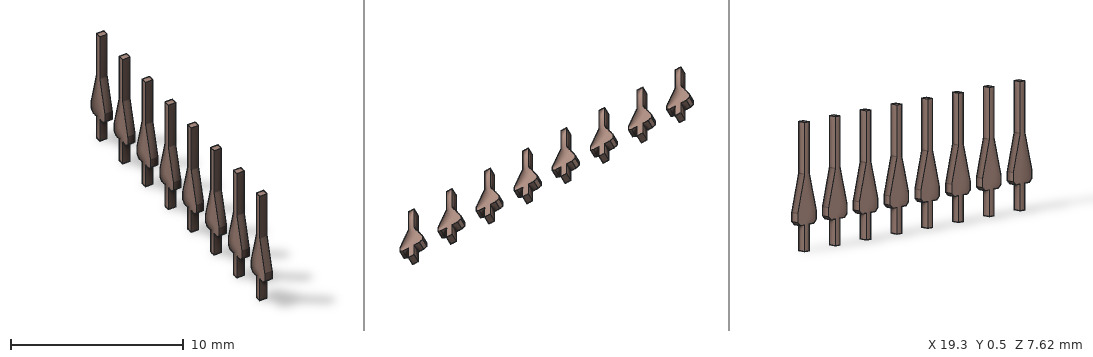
import cadquery as cq

row_length = 19.3
pin_count = 8
pin_height = 7.62
thickness = 0.5
stem_width = 0.39
body_width = 1.52
body_bottom = 1.58
corner_chamfer = 0.21
taper_bottom = 2.34
taper_top = 4.57

pitch = (row_length - body_width) / (pin_count - 1)
half_stem = stem_width / 2
half_body = body_width / 2


def make_pin(center_x):
    """Flat pin: lower tail, chamfered shoulder, tapered body and upper stem."""
    right_side = [
        (half_stem, 0),
        (half_stem, body_bottom),
        (half_body - corner_chamfer, body_bottom),
        (half_body, body_bottom + corner_chamfer),
        (half_body, taper_bottom),
        (half_stem, taper_top),
        (half_stem, pin_height),
    ]
    left_side = [(-x, z) for x, z in reversed(right_side)]
    return (
        cq.Workplane("XZ")
        .polyline(right_side + left_side)
        .close()
        .extrude(thickness / 2, both=True)
        .translate((center_x, 0, 0))
    )


first_x = -pitch * (pin_count - 1) / 2
pins = [make_pin(first_x + index * pitch) for index in range(pin_count)]

result = cq.Compound.makeCompound([pin.val() for pin in pins])